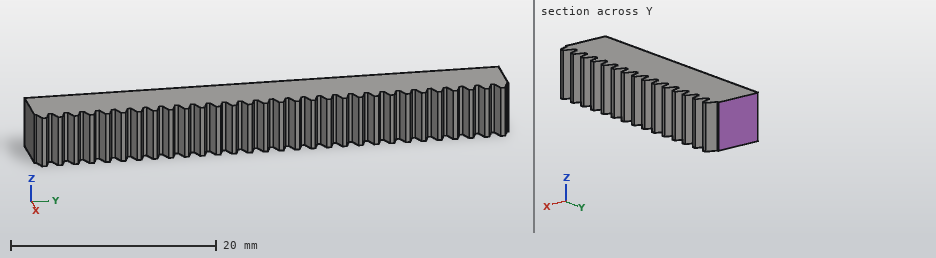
import cadquery as cq
import math

module = 0.5
pressure_angle = math.radians(20)
tooth_count = 30
body_depth = 5.0
face_width = 5.0

addendum = module
dedendum = 1.25 * module
pitch = math.pi * module
length = tooth_count * pitch

root_x = body_depth
pitch_line_x = root_x + dedendum
tip_x = pitch_line_x + addendum


def half_thickness(x):
    """Half of the tooth thickness (along Y) at position x on the flank."""
    return pitch / 4 - (x - pitch_line_x) * math.tan(pressure_angle)


def tooth_points(center_y):
    """Root-tip-tip-root corners of one trapezoidal tooth, in +Y order."""
    root_half = half_thickness(root_x)
    tip_half = half_thickness(tip_x)
    return [
        (root_x, center_y - root_half),
        (tip_x, center_y - tip_half),
        (tip_x, center_y + tip_half),
        (root_x, center_y + root_half),
    ]


def rack_outline():
    """Closed XY outline; each end stops in the middle of a tooth gap."""
    points = [(0, 0), (root_x, 0)]
    for index in range(tooth_count):
        points += tooth_points((index + 0.5) * pitch)
    points += [(root_x, length), (0, length)]
    return points


result = cq.Workplane("XY").polyline(rack_outline()).close().extrude(face_width)